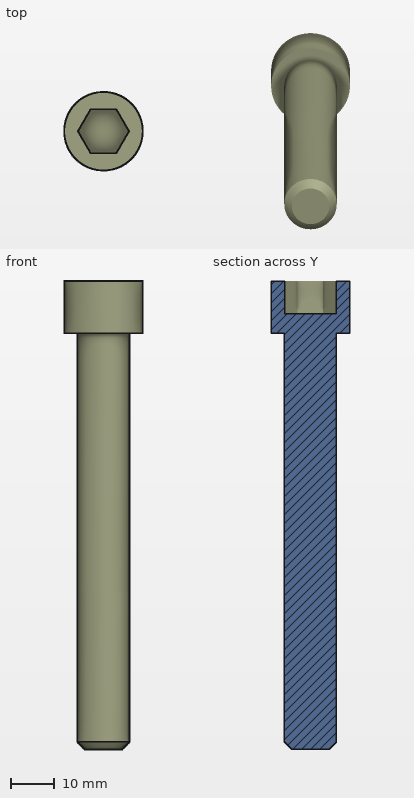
import cadquery as cq
import math

thread_diameter = 12.0
head_diameter = 1.5 * thread_diameter
head_height = thread_diameter
shank_length = 95.0
thread_length = 36.0
thread_pitch = 1.75
tip_chamfer = thread_pitch

socket_across_flats = 10.1
socket_depth = 7.5


def make_head():
    return cq.Workplane("XY").circle(head_diameter / 2).extrude(head_height)


def make_plain_shank():
    plain_length = shank_length - thread_length
    return cq.Workplane("XY").circle(thread_diameter / 2).extrude(-plain_length)


def make_threaded_end():
    """Threaded length as a smooth cylinder with a chamfered tip."""
    end = cq.Workplane("XY", origin=(0, 0, -shank_length))
    end = end.circle(thread_diameter / 2).extrude(thread_length)
    return end.faces("<Z").chamfer(tip_chamfer)


def make_hex_socket():
    """Hexagonal recess with two corners on the X axis."""
    across_corners = socket_across_flats / math.cos(math.pi / 6)
    top = cq.Workplane("XY", origin=(0, 0, head_height))
    return top.polygon(6, across_corners).extrude(-socket_depth)


screw = make_head().union(make_plain_shank()).union(make_threaded_end())
result = screw.cut(make_hex_socket())